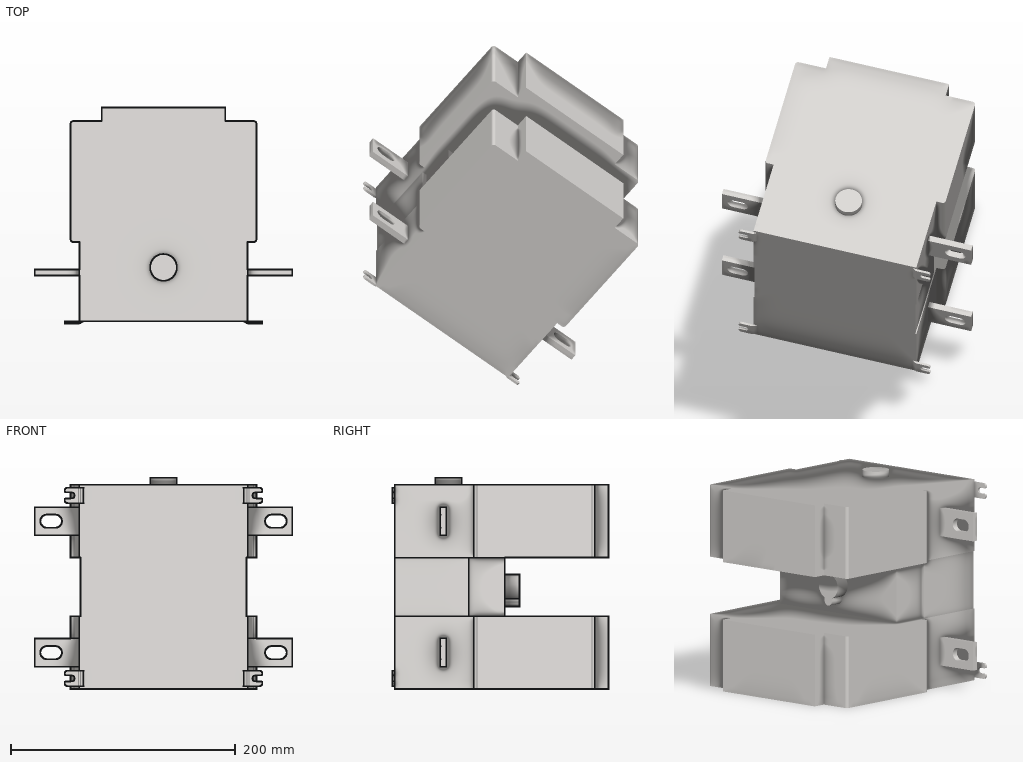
import cadquery as cq
import math


body_height = 182.0
body_depth = 190.5
housing_height = 65.0
front_width = 150.0
shoulder_width = 165.8
tongue_width = 110.2
shoulder_front_y = 70.5
tongue_depth = 12.2
shoulder_radius = 2.8

middle_front_width = 148.0
middle_rear_width = 140.0
middle_step_y = 66.0
middle_depth = 98.0

lock_radius = 11.3
lock_lobe_radius = 4.4
lock_lobe_drop = 13.0
lock_length = 13.3

button_radius = 12.0
button_height = 6.2
button_y = 48.0

terminal_span = 229.5
terminal_height = 25.3
terminal_thickness = 5.5
terminal_front_y = 40.6
terminal_slot_length = 19.0
terminal_slot_height = 11.5
terminal_slot_inset = 14.7

clip_outer_x = 88.2
clip_height = 14.0
clip_thickness = 2.0
clip_edge_gap = 2.5
clip_slope_end_x = 71.6
clip_inner_x = 71.2
clip_bend_x = 76.0
clip_bend_radius = 3.5
clip_bend_angle = 30.0
clip_slot_height = 5.3
clip_slot_depth = 9.0
clip_prong_outer_radius = 2.8
clip_prong_inner_radius = 1.4

middle_z = body_height / 2
housing_bases = (0, body_height - housing_height)


def block(width, y_start, y_end, z_base, height):
    """Box centred on X between two Y positions."""
    return (
        cq.Workplane("XY", origin=(0, (y_start + y_end) / 2, z_base))
        .box(width, y_end - y_start, height, centered=(True, True, False))
    )


def make_housing(z_base):
    shoulder_back_y = body_depth - tongue_depth
    shoulders = block(shoulder_width, shoulder_front_y, shoulder_back_y, z_base, housing_height)
    shoulders = shoulders.edges("|Z").fillet(shoulder_radius)
    front = block(front_width, 0, shoulder_back_y - shoulder_radius, z_base, housing_height)
    tongue = block(tongue_width, shoulder_front_y, body_depth, z_base, housing_height)
    return shoulders.union(front).union(tongue)


def make_middle_block():
    gap_base = housing_height
    gap_height = body_height - 2 * housing_height
    front = block(middle_front_width, 0, middle_step_y, gap_base, gap_height)
    rear = block(middle_rear_width, 0, middle_depth, gap_base, gap_height)
    return front.union(rear)


def make_lock():
    rear_face = cq.Workplane("XZ", origin=(0, middle_depth, middle_z))
    barrel = rear_face.circle(lock_radius).extrude(-lock_length)
    web = (
        rear_face.center(0, -lock_lobe_drop / 2)
        .rect(2 * lock_lobe_radius, lock_lobe_drop)
        .extrude(-lock_length)
    )
    lobe = rear_face.center(0, -lock_lobe_drop).circle(lock_lobe_radius).extrude(-lock_length)
    return barrel.union(web).union(lobe)


def make_button():
    top_face = cq.Workplane("XY", origin=(0, button_y, body_height))
    return top_face.circle(button_radius).extrude(button_height)


def make_terminal_bar(z_centre):
    front_plane = cq.Workplane("XZ", origin=(0, terminal_front_y, z_centre))
    slot_x = terminal_span / 2 - terminal_slot_inset
    bar = front_plane.rect(terminal_span, terminal_height).extrude(-terminal_thickness)
    slots = (
        front_plane.pushPoints([(-slot_x, 0), (slot_x, 0)])
        .slot2D(terminal_slot_length, terminal_slot_height)
        .extrude(-terminal_thickness)
    )
    return bar.cut(slots)


def make_clip(z_base):
    """Right-hand clip: a flat forked plate whose inner end bends back to the front face."""
    angle = math.radians(clip_bend_angle)

    def bend_point(turn):
        x = clip_bend_x - clip_bend_radius * math.sin(turn)
        y = -clip_thickness + clip_bend_radius * (1 - math.cos(turn))
        return x, y

    bend_end_x, bend_end_y = bend_point(angle)
    slope_end_y = bend_end_y + (bend_end_x - clip_slope_end_x) * math.tan(angle)
    plate = (
        cq.Workplane("XY", origin=(0, 0, z_base))
        .moveTo(clip_outer_x, 0)
        .lineTo(clip_outer_x, -clip_thickness)
        .lineTo(clip_bend_x, -clip_thickness)
        .threePointArc(bend_point(angle / 2), (bend_end_x, bend_end_y))
        .lineTo(clip_slope_end_x, slope_end_y)
        .lineTo(clip_inner_x, 0)
        .close()
        .extrude(clip_height)
    )
    plate = plate.faces(">X").edges("|Y").fillet(clip_prong_outer_radius)
    outer_end = cq.Workplane("XZ", origin=(clip_outer_x, 0, z_base + clip_height / 2))
    slot = outer_end.slot2D(2 * clip_slot_depth, clip_slot_height).extrude(clip_thickness)
    mouth = outer_end.rect(clip_slot_depth, clip_slot_height).extrude(clip_thickness)
    fork = plate.cut(slot).cut(mouth)
    slot_edges = cq.selectors.BoxSelector(
        (clip_outer_x - clip_prong_inner_radius, -clip_thickness, z_base + clip_prong_outer_radius),
        (clip_outer_x + clip_prong_inner_radius, 0, z_base + clip_height - clip_prong_outer_radius),
    )
    return fork.edges("|Y").edges(slot_edges).fillet(clip_prong_inner_radius)


result = make_middle_block().union(make_lock()).union(make_button())

for base in housing_bases:
    result = result.union(make_housing(base))
    result = result.union(make_terminal_bar(base + housing_height / 2))

for clip_base in (clip_edge_gap, body_height - clip_edge_gap - clip_height):
    clip = make_clip(clip_base)
    result = result.union(clip).union(clip.mirror("YZ"))